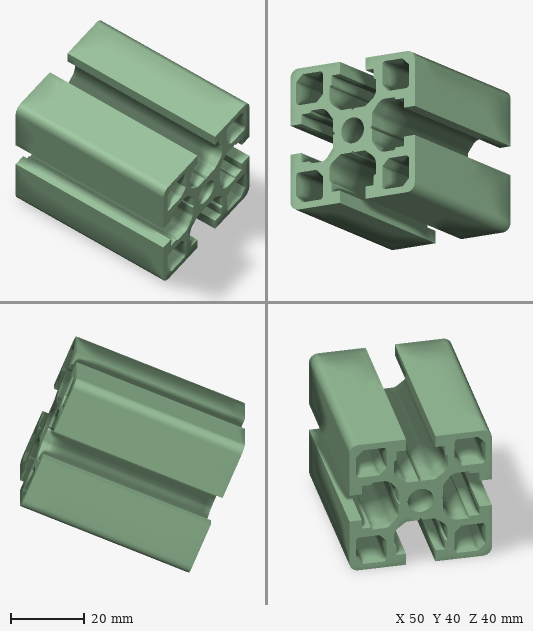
import cadquery as cq
import math


length = 50.0
width = 40.0
corner_radius = 2.5

half_width = width / 2
mouth_half_width = 4.1
lip_thickness = 3.5
shoulder_half_width = 6.8
shoulder_depth = 6.5
shoulder_fillet = 0.65
chamber_half_width = 7.5
floor_height = 6.25
floor_half_width = 4.0
flank_angle = 37.0
flank_fillet = 3.0
floor_fillet = 1.5

groove_half_width = 0.5
groove_depth = 0.6

bore_diameter = 7.3
cavity_wall = 1.85
cavity_size = 8.6
cavity_chamfer = 2.05
cavity_fillet = 1.0


def slot():
    """T-slot opening towards +Z, with a sloped flank at each side of its floor."""
    lip_height = half_width - lip_thickness
    shoulder_height = half_width - shoulder_depth
    flank_run = chamber_half_width - floor_half_width
    flank_height = floor_height + flank_run * math.tan(math.radians(flank_angle))

    right_side = [
        (groove_half_width, floor_height),
        (floor_half_width, floor_height),
        (chamber_half_width, flank_height),
        (chamber_half_width, shoulder_height),
        (shoulder_half_width, shoulder_height),
        (shoulder_half_width, lip_height),
        (mouth_half_width, lip_height),
        (mouth_half_width, half_width),
    ]
    left_side = [(-y, z) for y, z in reversed(right_side)]
    groove_bottom = (0, floor_height - groove_depth)
    outline = [groove_bottom] + right_side + left_side
    body = cq.Workplane("YZ").polyline(outline).close().extrude(length)

    rounded_edges = [
        (chamber_half_width, flank_height, flank_fillet),
        (floor_half_width, floor_height, floor_fillet),
        (shoulder_half_width, shoulder_height, shoulder_fillet),
    ]
    for y, z, radius in rounded_edges:
        for side in (-1, 1):
            edge_middle = cq.selectors.NearestToPointSelector((length / 2, side * y, z))
            body = body.edges(edge_middle).fillet(radius)
    return body


def corner_cavity():
    """Hollow in the +Y +Z corner: chamfered along the diagonal, rounded across it."""
    center = half_width - cavity_wall - cavity_size / 2
    return (
        cq.Workplane("YZ")
        .rect(cavity_size, cavity_size)
        .extrude(length)
        .edges("|X and (>(0, 1, 1) or <(0, 1, 1))")
        .chamfer(cavity_chamfer)
        .edges("|X and (>(0, 1, -1) or <(0, 1, -1))")
        .fillet(cavity_fillet)
        .translate((0, center, center))
    )


bar = (
    cq.Workplane("YZ")
    .rect(width, width)
    .extrude(length)
    .edges("|X")
    .fillet(corner_radius)
)
bore = cq.Workplane("YZ").circle(bore_diameter / 2).extrude(length)

result = bar.cut(bore)
for quarter_turn in range(4):
    angle = 90 * quarter_turn
    for cutter in (slot(), corner_cavity()):
        result = result.cut(cutter.rotate((0, 0, 0), (1, 0, 0), angle))